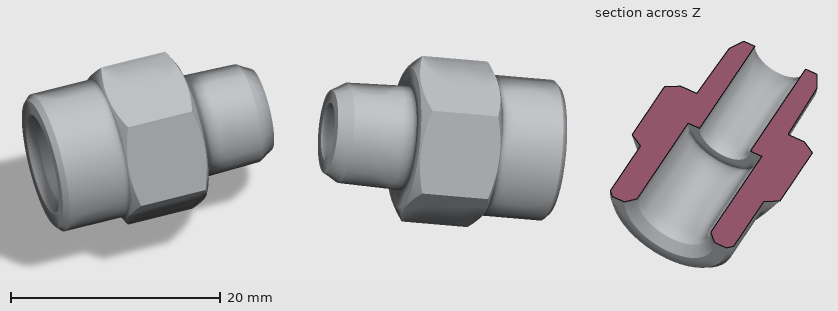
import cadquery as cq
import math

collar_end = 6.5
hex_end = 14.5
taper_end = 20.6
total_length = 22.0

across_flats = 14.0
hex_chamfer_angle = math.radians(30)

collar_diameter = 13.5
collar_chamfer = 0.5
socket_diameter = 8.0
socket_mouth_diameter = 9.81
socket_depth = 11.0

spigot_root_diameter = 9.99
spigot_end_diameter = 9.64
tip_diameter = 8.0

through_bore_diameter = 5.5


def revolve_about_axis(points):
    """Revolve a closed (radius, station) outline about the Y axis."""
    return cq.Workplane("XY").polyline(points).close().revolve(360, (0, 0, 0), (0, 1, 0))


def make_hexagon():
    """Hexagonal nut section with conical chamfers at both ends."""
    corner_radius = across_flats / math.sqrt(3)
    face_radius = collar_diameter / 2
    chamfer_depth = (corner_radius - face_radius) * math.tan(hex_chamfer_angle)
    prism = (
        cq.Workplane("XZ", origin=(0, collar_end, 0))
        .polygon(6, 2 * corner_radius)
        .extrude(collar_end - hex_end)
    )
    chamfer_envelope = revolve_about_axis([
        (0, collar_end),
        (face_radius, collar_end),
        (corner_radius, collar_end + chamfer_depth),
        (corner_radius, hex_end - chamfer_depth),
        (face_radius, hex_end),
        (0, hex_end),
    ])
    return prism.intersect(chamfer_envelope)


def make_turned_body():
    """Chamfered collar and tapered spigot, joined through the hexagon."""
    collar_radius = collar_diameter / 2
    return revolve_about_axis([
        (0, 0),
        (collar_radius - collar_chamfer, 0),
        (collar_radius, collar_chamfer),
        (collar_radius, collar_end),
        (spigot_root_diameter / 2, collar_end),
        (spigot_root_diameter / 2, hex_end),
        (spigot_end_diameter / 2, taper_end),
        (tip_diameter / 2, total_length),
        (0, total_length),
    ])


def make_bore():
    """Stepped bore: 45 degree mouth, socket, then the through bore."""
    socket_radius = socket_diameter / 2
    mouth_radius = socket_mouth_diameter / 2
    bore_radius = through_bore_diameter / 2
    return revolve_about_axis([
        (0, 0),
        (mouth_radius, 0),
        (socket_radius, mouth_radius - socket_radius),
        (socket_radius, socket_depth),
        (bore_radius, socket_depth),
        (bore_radius, total_length),
        (0, total_length),
    ])


result = make_turned_body().union(make_hexagon()).cut(make_bore())